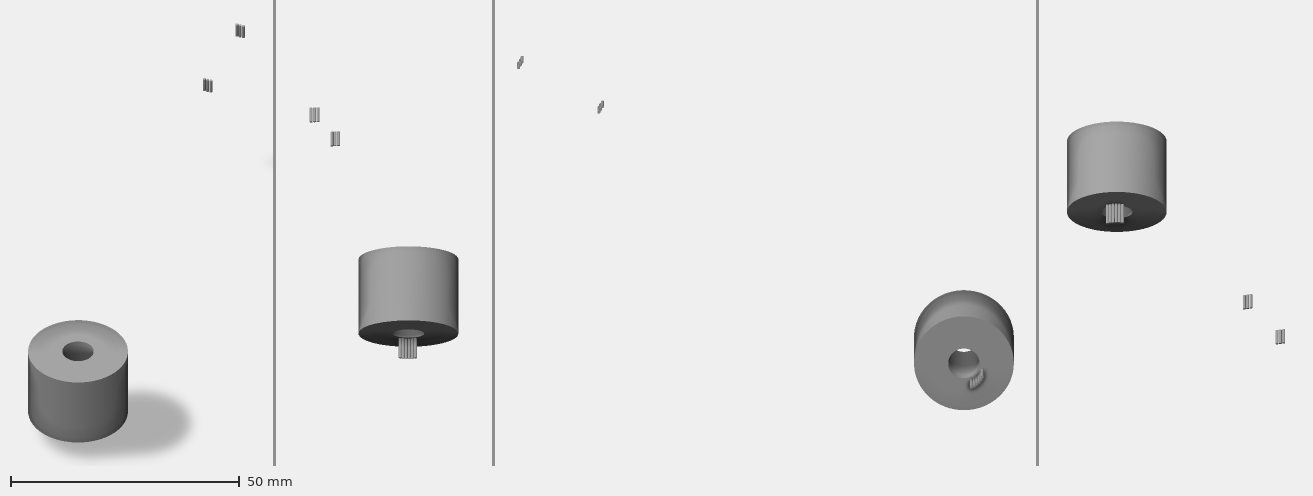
import cadquery as cq
import math

core_diameter = 21.84
bore_diameter = 6.86
core_height = 16.79

wire_diameter = 0.66

lower_lead_count = 6
lower_lead_length = 4.445
lower_arc_radius = 4.29
lower_arc_middle_angle = -75.4
lower_arc_step_angle = 9.15

pins_per_row = 3
pin_length = 3.175
pin_pitch = 0.762
row_center_x = -5.24
row_spacing = 20.36

overall_depth = 126.9
far_row_y = overall_depth - core_diameter / 2 - wire_diameter / 2
near_row_y = far_row_y - row_spacing


def offsets(count, step):
    """Evenly spaced offsets, symmetric about zero."""
    return [(i - (count - 1) / 2) * step for i in range(count)]


def make_wire(x, y, bottom_z, length):
    """A straight vertical piece of wire."""
    return cq.Workplane("XY", origin=(x, y, bottom_z)).circle(wire_diameter / 2).extrude(length)


def make_core():
    """The ring, with its lower leads growing out of the bottom face."""
    core = cq.Workplane("XY").circle(core_diameter / 2).circle(bore_diameter / 2).extrude(core_height)
    for offset in offsets(lower_lead_count, lower_arc_step_angle):
        angle = math.radians(lower_arc_middle_angle + offset)
        x = lower_arc_radius * math.cos(angle)
        y = lower_arc_radius * math.sin(angle)
        core = core.union(make_wire(x, y, -lower_lead_length, lower_lead_length))
    return core


def make_pin_row(row_y):
    """One row of separate pins, as a list of solids."""
    return [
        make_wire(row_center_x + offset, row_y, core_height, pin_length).val()
        for offset in offsets(pins_per_row, pin_pitch)
    ]


core = make_core()
near_pins = make_pin_row(near_row_y)
far_pins = make_pin_row(far_row_y)

result = cq.Compound.makeCompound([core.solids().val(), *near_pins, *far_pins])